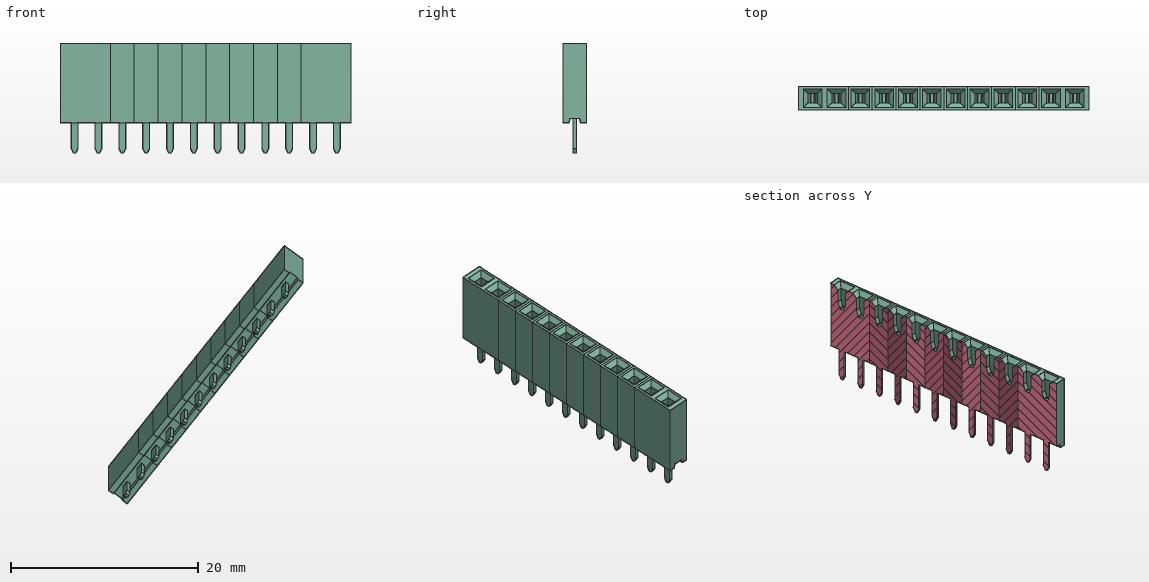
import cadquery as cq

LENGTH = 30.98
DEPTH = 2.5
PITCH = 2.55
CONTACT_COUNT = 12
CONTACTS_PER_END = 2
HOUSING_HEIGHT = 8.5
FIRST_CONTACT_X = -PITCH * (CONTACT_COUNT - 1) / 2

GROOVE_HEIGHT = 0.45
GROOVE_TOP_WIDTH = 1.0
GROOVE_BOTTOM_WIDTH = 1.25

FUNNEL_MOUTH = 1.98
FUNNEL_THROAT = 1.0
FUNNEL_HEIGHT = (FUNNEL_MOUTH - FUNNEL_THROAT) / 2
SHAFT_HEIGHT = 1.5
WEDGE_BOTTOM_WIDTH = 0.5
WEDGE_HEIGHT = 0.68
FLOOR_WIDTH = 0.3
FLOOR_CHAMFER = (WEDGE_BOTTOM_WIDTH - FLOOR_WIDTH) / 2

PIN_WIDTH = 0.75
PIN_THICKNESS = 0.4
PIN_DROP = 3.22
PIN_TIP_WIDTH = 0.25
PIN_TIP_HEIGHT = 0.5


def contact_x(index):
    """X position of a contact, counted from the -X end."""
    return FIRST_CONTACT_X + index * PITCH


def housing_block(x_start, x_end):
    """Block with its underside at Z = 0 and a tapered groove along that underside."""
    width = x_end - x_start
    profile = (
        cq.Workplane("YZ", origin=(x_start, 0, 0))
        .moveTo(-DEPTH / 2, 0)
        .lineTo(-GROOVE_BOTTOM_WIDTH / 2, 0)
        .lineTo(-GROOVE_TOP_WIDTH / 2, GROOVE_HEIGHT)
        .lineTo(GROOVE_TOP_WIDTH / 2, GROOVE_HEIGHT)
        .lineTo(GROOVE_BOTTOM_WIDTH / 2, 0)
        .lineTo(DEPTH / 2, 0)
        .lineTo(DEPTH / 2, HOUSING_HEIGHT)
        .lineTo(-DEPTH / 2, HOUSING_HEIGHT)
        .close()
    )
    return profile.extrude(width)


def socket(x):
    """Volume cut from the top of a block: the funnel and the narrowing cavity under its throat."""
    throat_z = HOUSING_HEIGHT - FUNNEL_HEIGHT
    wedge_top_z = throat_z - SHAFT_HEIGHT
    wedge_bottom_z = wedge_top_z - WEDGE_HEIGHT
    floor_z = wedge_bottom_z - FLOOR_CHAMFER
    funnel = (
        cq.Workplane("XY", origin=(x, 0, HOUSING_HEIGHT))
        .rect(FUNNEL_MOUTH, FUNNEL_MOUTH)
        .workplane(offset=-FUNNEL_HEIGHT)
        .rect(FUNNEL_THROAT, FUNNEL_THROAT)
        .loft(ruled=True)
    )
    cavity = (
        cq.Workplane("XZ", origin=(x, FUNNEL_THROAT / 2, 0))
        .moveTo(-FUNNEL_THROAT / 2, throat_z)
        .lineTo(-FUNNEL_THROAT / 2, wedge_top_z)
        .lineTo(-WEDGE_BOTTOM_WIDTH / 2, wedge_bottom_z)
        .lineTo(-FLOOR_WIDTH / 2, floor_z)
        .lineTo(FLOOR_WIDTH / 2, floor_z)
        .lineTo(WEDGE_BOTTOM_WIDTH / 2, wedge_bottom_z)
        .lineTo(FUNNEL_THROAT / 2, wedge_top_z)
        .lineTo(FUNNEL_THROAT / 2, throat_z)
        .close()
        .extrude(FUNNEL_THROAT)
    )
    return funnel.union(cavity)


def pin(x):
    """Flat pin hanging from the roof of the groove, with a tapered tip."""
    taper_start = PIN_TIP_HEIGHT - PIN_DROP
    return (
        cq.Workplane("XZ", origin=(x, PIN_THICKNESS / 2, 0))
        .moveTo(-PIN_WIDTH / 2, GROOVE_HEIGHT)
        .lineTo(-PIN_WIDTH / 2, taper_start)
        .lineTo(-PIN_TIP_WIDTH / 2, -PIN_DROP)
        .lineTo(PIN_TIP_WIDTH / 2, -PIN_DROP)
        .lineTo(PIN_WIDTH / 2, taper_start)
        .lineTo(PIN_WIDTH / 2, GROOVE_HEIGHT)
        .close()
        .extrude(PIN_THICKNESS)
    )


def segment(x_start, x_end, contacts):
    """One body of the row: a block with a socket and a pin for each of its contacts."""
    body = housing_block(x_start, x_end)
    for index in contacts:
        body = body.cut(socket(contact_x(index))).union(pin(contact_x(index)))
    return body


first_joint_x = contact_x(CONTACTS_PER_END) - PITCH / 2
first_middle = CONTACTS_PER_END
first_of_right_end = CONTACT_COUNT - CONTACTS_PER_END
left_end = segment(-LENGTH / 2, first_joint_x, range(first_middle))
right_end = segment(-first_joint_x, LENGTH / 2, range(first_of_right_end, CONTACT_COUNT))

middle_segments = [
    segment(contact_x(index) - PITCH / 2, contact_x(index) + PITCH / 2, [index])
    for index in range(first_middle, first_of_right_end)
]

result = cq.Compound.makeCompound(
    [left_end.val(), *[middle.val() for middle in middle_segments], right_end.val()]
)